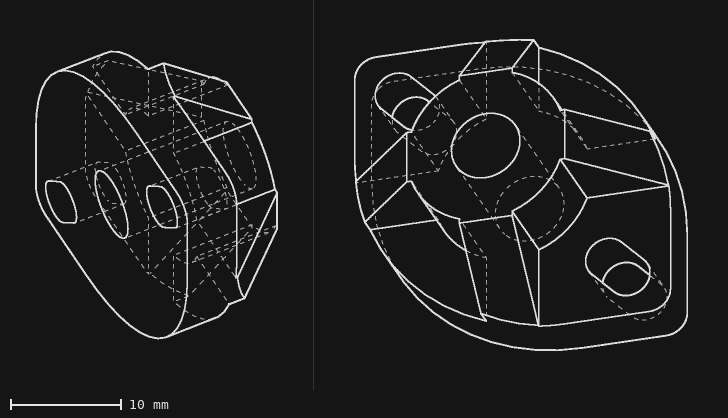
import cadquery as cq
import math

plate_side = 30.0
plate_thickness = 5.0
total_depth = 13.0
large_corner_radius = 20.0
small_corner_radius = 2.0
bore_diameter = 6.5
hub_radius = 7.5
rib_width = 5.0
slot_offset = 10.0
slot_width = 4.0
slot_centre_distance = 3.0

half_side = plate_side / 2
slot_angle = 45.0


def make_plate(depth):
    """Square plate with two large and two small rounded corners."""
    large_start = half_side - large_corner_radius
    small_start = half_side - small_corner_radius
    large_mid = large_start + large_corner_radius * math.sqrt(0.5)
    small_mid = small_start + small_corner_radius * math.sqrt(0.5)
    return (
        cq.Workplane("XZ")
        .moveTo(-large_start, half_side)
        .lineTo(small_start, half_side)
        .threePointArc((small_mid, small_mid), (half_side, small_start))
        .lineTo(half_side, -large_start)
        .threePointArc((large_mid, -large_mid), (large_start, -half_side))
        .lineTo(-small_start, -half_side)
        .threePointArc((-small_mid, -small_mid), (-half_side, -small_start))
        .lineTo(-half_side, large_start)
        .threePointArc((-large_mid, large_mid), (-large_start, half_side))
        .close()
        .extrude(-depth)
    )


def make_rib_pair():
    """Two opposite ribs along X, sloping from the hub top to the plate edge."""
    return (
        cq.Workplane("XY")
        .moveTo(-half_side, 0)
        .lineTo(half_side, 0)
        .lineTo(half_side, plate_thickness)
        .lineTo(hub_radius, total_depth)
        .lineTo(-hub_radius, total_depth)
        .lineTo(-half_side, plate_thickness)
        .close()
        .extrude(rib_width / 2, both=True)
    )


rib_pair = make_rib_pair()
ribs = rib_pair.union(rib_pair.rotate((0, 0, 0), (0, 1, 0), 90))
ribs = ribs.intersect(make_plate(total_depth))

hub = cq.Workplane("XZ").circle(hub_radius).extrude(-total_depth)

bore = cq.Workplane("XZ").circle(bore_diameter / 2).extrude(-total_depth)
slots = (
    cq.Workplane("XZ")
    .pushPoints([(slot_offset, slot_offset), (-slot_offset, -slot_offset)])
    .slot2D(slot_centre_distance + slot_width, slot_width, slot_angle)
    .extrude(-total_depth)
)

result = make_plate(plate_thickness).union(ribs).union(hub).cut(bore).cut(slots)